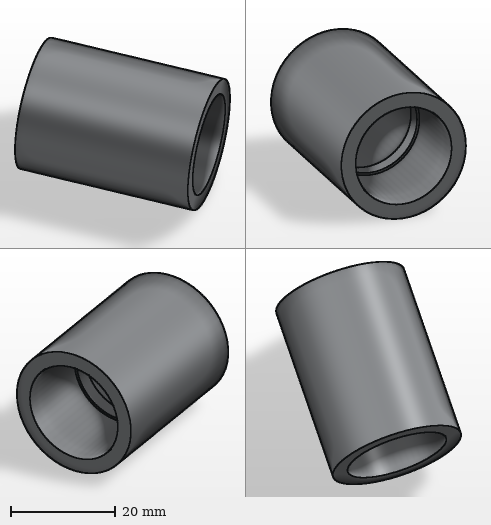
import cadquery as cq

length = 35.0
outer_diameter = 26.0
socket_diameter = 20.0
stop_diameter = 19.0
stop_width = 3.0

socket_depth = (length - stop_width) / 2


def x_cylinder(diameter, start_x, cylinder_length):
    """Solid cylinder along +X, starting at start_x."""
    return cq.Workplane("YZ", origin=(start_x, 0, 0)).circle(diameter / 2).extrude(cylinder_length)


def make_sleeve():
    """Outer cylinder with the narrow through bore that the stop ring leaves."""
    body = x_cylinder(outer_diameter, -length / 2, length)
    return body.cut(x_cylinder(stop_diameter, -length / 2, length))


def cut_sockets(sleeve):
    """Widen the bore from both ends down to the stop ring."""
    for start_x in (-length / 2, stop_width / 2):
        sleeve = sleeve.cut(x_cylinder(socket_diameter, start_x, socket_depth))
    return sleeve


result = cut_sockets(make_sleeve())